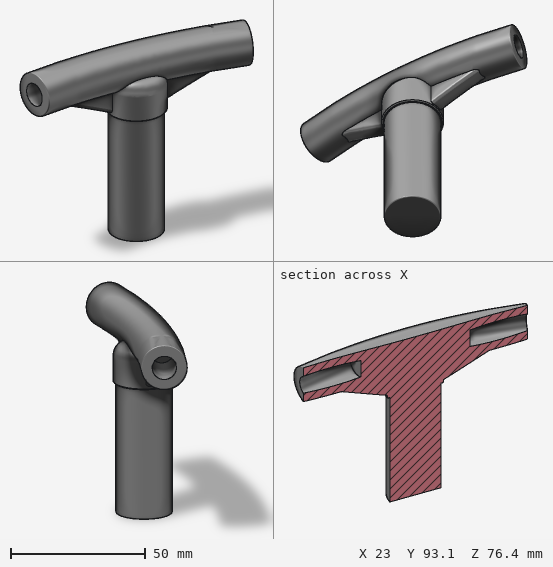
import cadquery as cq
import math

post_diameter = 21.0
post_height = 50.1
collar_diameter = 23.0
collar_height = 15.8
shoulder_radius = 5.8
edge_break = 0.5

total_height = 76.4
total_length = 93.1
handle_diameter = 17.0
handle_radius = handle_diameter / 2
handle_z = total_height - handle_radius
handle_middle_x = -1.2
bend_radius = 228.0
bend_center_x = handle_middle_x + bend_radius
end_rim_radius = bend_radius + handle_radius - edge_break
half_sweep = math.degrees(math.asin(total_length / 2 / end_rim_radius))
bore_diameter = 8.9
bore_depth = 22.8

rib_thickness = 6.05
rib_fillet = 1.4
rib_foot_y = collar_diameter / 2
rib_foot_z = 51.5
rib_tip_y = 29.9
rib_tip_z = handle_z - handle_radius
rib_slope = (rib_tip_z - rib_foot_z) / (rib_tip_y - rib_foot_y)
rib_embed = 2.8


def bend_point(angle):
    """Point on the handle centerline, with the angle measured from its middle."""
    turn = math.radians(angle)
    return (bend_center_x - bend_radius * math.cos(turn), bend_radius * math.sin(turn))


def end_plane(side):
    """Plane of a handle end face, with its normal pointing outward."""
    turn = math.radians(half_sweep)
    x, y = bend_point(side * half_sweep)
    return cq.Plane(
        origin=(x, y, handle_z),
        xDir=(0, 0, 1),
        normal=(math.sin(turn), side * math.cos(turn), 0),
    )


def make_post():
    post = cq.Workplane("XY").circle(post_diameter / 2).extrude(post_height + edge_break)
    return post.faces("<Z").edges().fillet(edge_break)


def make_collar():
    collar = cq.Workplane("XY").workplane(offset=post_height)
    collar = collar.circle(collar_diameter / 2).extrude(collar_height)
    collar = collar.faces(">Z").edges().fillet(shoulder_radius)
    return collar.faces("<Z").edges().chamfer(edge_break)


def make_handle():
    start_plane = end_plane(-1)
    axis_start = start_plane.toLocalCoords(cq.Vector(bend_center_x, 0, handle_z))
    axis_end = start_plane.toLocalCoords(cq.Vector(bend_center_x, 0, handle_z - 0.9))
    section = cq.Workplane(start_plane).circle(handle_radius)
    handle = section.revolve(2 * half_sweep, axis_start.toTuple(), axis_end.toTuple())
    return handle.faces("%PLANE").edges().fillet(edge_break)


def make_rib():
    """Rib on the +Y side, bent along the handle."""
    top_z = rib_tip_z + rib_embed
    root_z = rib_foot_z - rib_slope * rib_foot_y
    top_y = rib_tip_y + rib_embed / rib_slope
    wedge = cq.Workplane("YZ").polyline([(0, root_z), (top_y, top_z), (0, top_z)]).close()
    wedge = wedge.extrude(collar_diameter, both=True)
    band = cq.Workplane("XY").center(bend_center_x, 0)
    band = band.circle(bend_radius + rib_thickness / 2).circle(bend_radius - rib_thickness / 2)
    rib = wedge.intersect(band.extrude(total_height))
    return rib.faces("%PLANE").faces("not (|Y or |Z)").edges("not |X").fillet(rib_fillet)


def make_bore(side):
    return cq.Workplane(end_plane(side)).circle(bore_diameter / 2).extrude(-bore_depth)


rib = make_rib()
result = make_post().union(make_collar()).union(make_handle())
result = result.union(rib).union(rib.mirror("XZ"))
for side in (-1, 1):
    result = result.cut(make_bore(side))